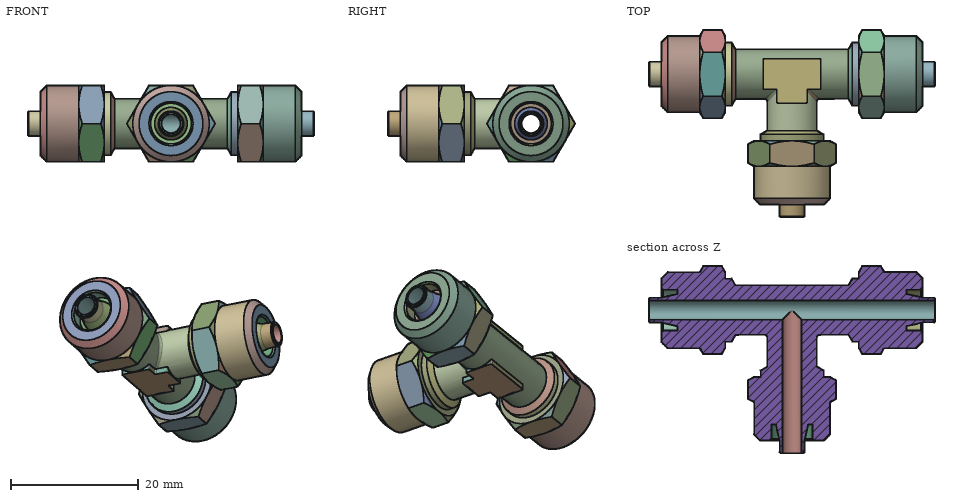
import cadquery as cq
import math

arm_length = 22.5
arm_turns = (0, 180, -90)
bevel_angle = math.radians(30)

body_radius = 3.9
collar_radius = 5.0
collar_start = 8.85
collar_bevel_length = (collar_radius - body_radius) * math.tan(bevel_angle)
crotch_fillet = 0.4

pad_half_height = 4.0
pad_reach = 4.55
pad_half_width = 2.4
pad_corner_fillet = 0.2

across_flats = 12.0
across_corners = across_flats / math.cos(math.radians(30))
hex_start = 10.5
hex_length = 4.0
hex_end = hex_start + hex_length
hex_bevel_length = (across_corners - across_flats) / 2 * math.tan(bevel_angle)
sleeve_radius = across_flats / 2
sleeve_end = 20.5
sleeve_chamfer = 1.0

opening_radius = 3.2
opening_chamfer = 0.25
opening_floor = 18.0

barb_radius = 2.0
barb_root_radius = 2.55
barb_cone_start = 20.5
barb_tip_chamfer = 0.2
bore_radius = 1.5


def revolve_profile(points):
    """Turn (axial, radial) points, closed along the X axis, into a solid of revolution about X."""
    return cq.Workplane("XY").polyline(points).close().revolve(360, (0, 0, 0), (1, 0, 0))


def turn_arm(arm, turn):
    """Turn an arm built along +X about the Z axis."""
    return arm.rotate((0, 0, 0), (0, 0, 1), turn)


def make_hexagon():
    """Hexagon with flats facing +Z and -Z and both ends bevelled at the corners."""
    prism = (
        cq.Workplane("YZ")
        .workplane(offset=hex_start)
        .polygon(6, across_corners)
        .extrude(hex_length)
    )
    corner_radius = across_corners / 2
    envelope = revolve_profile([
        (hex_start, 0),
        (hex_start, sleeve_radius),
        (hex_start + hex_bevel_length, corner_radius),
        (hex_end - hex_bevel_length, corner_radius),
        (hex_end, sleeve_radius),
        (hex_end, 0),
    ])
    return prism.intersect(envelope)


def make_end():
    """Collar, nut and hose barb at the end of one arm, along +X."""
    collar = revolve_profile([
        (collar_start, 0),
        (collar_start, body_radius),
        (collar_start + collar_bevel_length, collar_radius),
        (hex_start, collar_radius),
        (hex_start, 0),
    ])
    sleeve_and_barb = revolve_profile([
        (hex_end, 0),
        (hex_end, sleeve_radius),
        (sleeve_end - sleeve_chamfer, sleeve_radius),
        (sleeve_end, sleeve_radius - sleeve_chamfer),
        (sleeve_end, opening_radius + opening_chamfer),
        (sleeve_end - opening_chamfer, opening_radius),
        (opening_floor, opening_radius),
        (opening_floor, barb_root_radius),
        (barb_cone_start, barb_radius),
        (arm_length - barb_tip_chamfer, barb_radius),
        (arm_length, barb_radius - barb_tip_chamfer),
        (arm_length, 0),
    ])
    return collar.union(make_hexagon()).union(sleeve_and_barb)


def make_pads():
    """T-shaped block whose flat top and bottom stand just proud of the body."""
    bar = cq.Workplane("XY").box(2 * pad_reach, 2 * pad_half_width, 2 * pad_half_height)
    stem = (
        cq.Workplane("XY")
        .box(2 * pad_half_width, pad_reach, 2 * pad_half_height)
        .translate((0, -pad_reach / 2, 0))
    )
    return bar.union(stem).edges("|Z").fillet(pad_corner_fillet)


def make_body():
    """Round run and branch, blended at their inner corners, with the pads."""
    run = cq.Workplane("YZ").circle(body_radius).extrude(collar_start, both=True)
    branch = cq.Workplane("XZ").circle(body_radius).extrude(collar_start)
    body = run.union(branch).union(make_pads())
    crotch_edges = body.edges("%ELLIPSE")
    return crotch_edges.fillet(crotch_fillet)


end = make_end()
bore = cq.Workplane("YZ").circle(bore_radius).extrude(arm_length)

result = make_body()
for turn in arm_turns:
    result = result.union(turn_arm(end, turn))
for turn in arm_turns:
    result = result.cut(turn_arm(bore, turn))